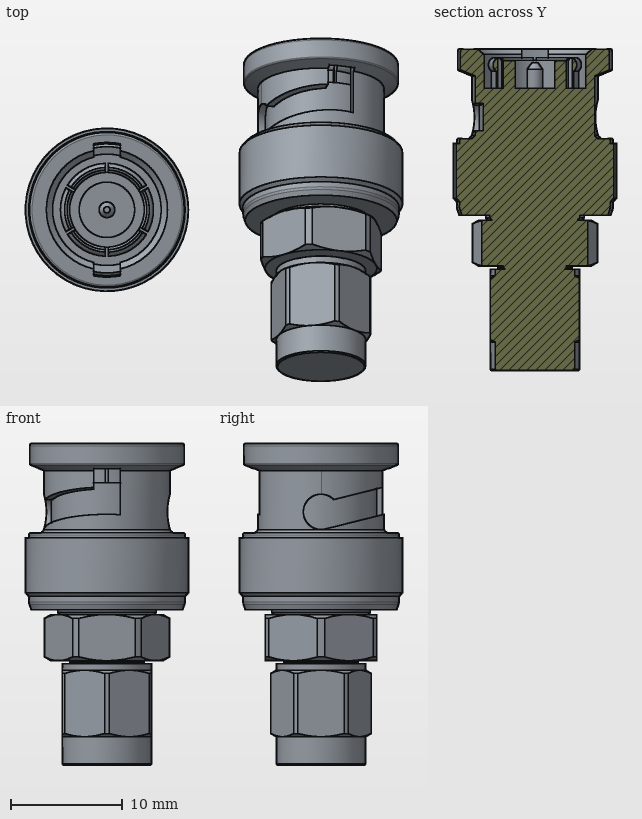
import cadquery as cq
import math

LOWER_HEX_BOTTOM = 2.55
LOWER_HEX_TOP = 8.5
COLLAR_TOP = 9.1
UPPER_HEX_BOTTOM = 9.35
UPPER_HEX_TOP = 13.48
BARREL_BOTTOM = 13.9
BARREL_TOP = 20.8
BODY_TOP = 25.28
FLANGE_BOTTOM = 26.36
FLANGE_RIM_BOTTOM = 26.9
OVERALL_HEIGHT = 28.8
LEVEL_TOLERANCE = 0.01

NUT_RADIUS = 4.0
NUT_EDGE_CHAMFER = 0.12
LOWER_HEX_ACROSS_FLATS = 8.0
LOWER_HEX_CORNER_RADIUS = 4.5

HEX_SIDES = 6
HEX_HALF_SECTOR = 180 / HEX_SIDES
HEX_CHAMFER_ANGLE = 30.0
FLATS_FACING_X = HEX_HALF_SECTOR
FLATS_FACING_Y = 0.0

UPPER_HEX_ACROSS_FLATS = 10.0
UPPER_HEX_CORNER_RADIUS = 5.6
LOWER_NECK_RADIUS = 3.35
UPPER_NECK_RADIUS = 4.42
UPPER_NECK_CHAMFER = 0.2
LOWER_NECK_CHAMFER = 0.12

BARREL_RADIUS = 7.3
BARREL_END_RADIUS = 7.0
BARREL_GRIP_BOTTOM = 15.45
BARREL_GRIP_TOP = 20.35
GRIP_TAPER_HEIGHT = 0.35
BARREL_TOP_ROUND = 0.2
BARREL_BOTTOM_CHAMFER_RADIUS = 6.78
BARREL_BOTTOM_CHAMFER_HEIGHT = 0.62
BARREL_BOTTOM_CORNER_ROUND = 0.75

SLEEVE_RADIUS = 5.65
SLEEVE_BORE_RADIUS = 4.86
SLEEVE_FOOT_CHAMFER = 0.25
FLANGE_RADIUS = 6.92
FLANGE_EDGE_ROUND = 0.2
FLANGE_UNDERSIDE_ROUND = 0.15
MOUTH_RADIUS = 5.42
MOUTH_DEPTH = 0.5

ENTRY_HALF_WIDTH = 1.2
ENTRY_OUTER_RADIUS = 6.03
SLOT_FLOOR_RADIUS = 4.98
LOCK_HOLE_RADIUS = 1.58
LOCK_HOLE_Z = 22.67
RAMP_ANGLE = 14.0
RAMP_WIDTH = 2.37
SLOT_REACH = 8.0

FINGER_INNER_RADIUS = 3.34
FINGER_STEM_RADIUS = 3.9
FINGER_BULGE_RADIUS = 4.16
FINGER_TIP_RADIUS = 3.79
FINGER_TOP = 28.0
FINGER_BULGE_Z = 27.4
FINGER_BULGE_BOTTOM = 26.8
FINGER_MOUTH_CHAMFER = 0.23
FINGER_COUNT = 6
FINGER_SLIT_WIDTH = 0.28
INSULATOR_BORE_RADIUS = 2.48
INSULATOR_TOP = FINGER_TOP - FINGER_MOUTH_CHAMFER
PIN_RADIUS = 0.7
PIN_TIP_RADIUS = 0.28
PIN_TIP_LENGTH = 0.58
PIN_TOP = 27.55


def cylinder(radius, bottom, top):
    """Solid cylinder about Z between two levels."""
    return cq.Workplane("XY").workplane(offset=bottom).circle(radius).extrude(top - bottom)


def ring(outer_radius, inner_radius, bottom, top):
    """Hollow cylinder about Z between two levels."""
    profile = cq.Workplane("XY").workplane(offset=bottom).circle(outer_radius).circle(inner_radius)
    return profile.extrude(top - bottom)


def edges_at_level(level):
    """Selector for the circular edges that lie at one Z level."""
    reach = 2 * BARREL_RADIUS
    low_corner = (-reach, -reach, level - LEVEL_TOLERANCE)
    high_corner = (reach, reach, level + LEVEL_TOLERANCE)
    return cq.selectors.BoxSelector(low_corner, high_corner, boundingbox=True)


def hexagon(across_flats, corner_radius, bottom, top, turn):
    """Hexagon with turned corners and conical chamfers at both ends."""
    flat_radius = across_flats / 2
    corner_diameter = across_flats / math.cos(math.radians(HEX_HALF_SECTOR))
    outline = cq.Workplane("XY").workplane(offset=bottom).polygon(HEX_SIDES, corner_diameter)
    prism = outline.extrude(top - bottom)
    prism = prism.rotate((0, 0, 0), (0, 0, 1), turn)
    chamfer_depth = corner_radius - flat_radius
    chamfer_height = chamfer_depth * math.tan(math.radians(HEX_CHAMFER_ANGLE))
    envelope = cylinder(corner_radius, bottom, top).faces("<Z or >Z").chamfer(chamfer_height, chamfer_depth)
    return prism.intersect(envelope)


def coupling_nut():
    round_body = cylinder(NUT_RADIUS, 0, COLLAR_TOP).faces("<Z").chamfer(NUT_EDGE_CHAMFER)
    nut_hex = hexagon(
        LOWER_HEX_ACROSS_FLATS, LOWER_HEX_CORNER_RADIUS, LOWER_HEX_BOTTOM, LOWER_HEX_TOP, FLATS_FACING_X
    )
    return round_body.union(nut_hex)


def upper_hex_with_necks():
    lower_neck = cylinder(LOWER_NECK_RADIUS, COLLAR_TOP, UPPER_HEX_BOTTOM)
    lower_neck = lower_neck.faces("<Z").chamfer(LOWER_NECK_CHAMFER)
    body_hex = hexagon(
        UPPER_HEX_ACROSS_FLATS, UPPER_HEX_CORNER_RADIUS, UPPER_HEX_BOTTOM, UPPER_HEX_TOP, FLATS_FACING_Y
    )
    upper_neck = cylinder(UPPER_NECK_RADIUS, UPPER_HEX_TOP, BARREL_BOTTOM)
    upper_neck = upper_neck.faces("<Z").chamfer(UPPER_NECK_CHAMFER)
    return lower_neck.union(body_hex).union(upper_neck)


def barrel():
    taper_bottom = BARREL_GRIP_BOTTOM - GRIP_TAPER_HEIGHT
    chamfer_top = BARREL_BOTTOM + BARREL_BOTTOM_CHAMFER_HEIGHT
    return (
        cq.Workplane("XZ")
        .moveTo(0, BARREL_BOTTOM)
        .lineTo(BARREL_BOTTOM_CHAMFER_RADIUS, BARREL_BOTTOM)
        .lineTo(BARREL_END_RADIUS, chamfer_top)
        .lineTo(BARREL_END_RADIUS, taper_bottom)
        .lineTo(BARREL_RADIUS, BARREL_GRIP_BOTTOM)
        .lineTo(BARREL_RADIUS, BARREL_GRIP_TOP)
        .lineTo(BARREL_END_RADIUS, BARREL_GRIP_TOP)
        .lineTo(BARREL_END_RADIUS, BARREL_TOP)
        .lineTo(0, BARREL_TOP)
        .close()
        .revolve(360, (0, 0, 0), (0, 1, 0))
        .faces(">Z").edges().fillet(BARREL_TOP_ROUND)
        .edges(edges_at_level(chamfer_top)).fillet(BARREL_BOTTOM_CORNER_ROUND)
    )


def sleeve():
    """Sleeve with its flange; solid up to the body face and bored above it."""
    outer = (
        cq.Workplane("XZ")
        .moveTo(0, BARREL_TOP)
        .lineTo(SLEEVE_RADIUS + SLEEVE_FOOT_CHAMFER, BARREL_TOP)
        .lineTo(SLEEVE_RADIUS, BARREL_TOP + SLEEVE_FOOT_CHAMFER)
        .lineTo(SLEEVE_RADIUS, FLANGE_BOTTOM)
        .lineTo(FLANGE_RADIUS, FLANGE_RIM_BOTTOM)
        .lineTo(FLANGE_RADIUS, OVERALL_HEIGHT)
        .lineTo(0, OVERALL_HEIGHT)
        .close()
        .revolve(360, (0, 0, 0), (0, 1, 0))
        .faces(">Z").edges().fillet(FLANGE_EDGE_ROUND)
        .edges(edges_at_level(FLANGE_RIM_BOTTOM)).fillet(FLANGE_UNDERSIDE_ROUND)
    )
    bore = (
        cq.Workplane("XZ")
        .moveTo(0, BODY_TOP)
        .lineTo(SLEEVE_BORE_RADIUS, BODY_TOP)
        .lineTo(SLEEVE_BORE_RADIUS, OVERALL_HEIGHT - MOUTH_DEPTH)
        .lineTo(MOUTH_RADIUS, OVERALL_HEIGHT)
        .lineTo(0, OVERALL_HEIGHT)
        .close()
        .revolve(360, (0, 0, 0), (0, 1, 0))
    )
    return outer.cut(bore)


def bayonet_slot():
    """Cutter for the slot that enters at -Y and locks at -X."""
    slope = math.tan(math.radians(RAMP_ANGLE))
    rise = 1 / math.cos(math.radians(RAMP_ANGLE))
    floor_z = LOCK_HOLE_Z - LOCK_HOLE_RADIUS * rise
    roof_z = floor_z + RAMP_WIDTH * rise
    start = LOCK_HOLE_RADIUS * math.sin(math.radians(RAMP_ANGLE))
    ramp = (
        cq.Workplane("YZ", origin=(ENTRY_HALF_WIDTH, 0, 0))
        .moveTo(-start, floor_z + start * slope)
        .lineTo(-SLOT_REACH, floor_z + SLOT_REACH * slope)
        .lineTo(-SLOT_REACH, roof_z + SLOT_REACH * slope)
        .lineTo(-start, roof_z + start * slope)
        .close()
        .extrude(-SLOT_REACH - ENTRY_HALF_WIDTH)
    )
    lock_hole = (
        cq.Workplane("YZ").center(0, LOCK_HOLE_Z).circle(LOCK_HOLE_RADIUS).extrude(-SLOT_REACH)
    )
    entry = (
        cq.Workplane("XY")
        .workplane(offset=roof_z)
        .center(0, -SLOT_REACH / 2)
        .rect(2 * ENTRY_HALF_WIDTH, SLOT_REACH)
        .extrude(OVERALL_HEIGHT - roof_z)
        .intersect(cylinder(ENTRY_OUTER_RADIUS, 0, OVERALL_HEIGHT))
    )
    cutter = ramp.union(lock_hole).union(entry)
    return cutter.cut(cylinder(SLOT_FLOOR_RADIUS, 0, BODY_TOP))


def spring_fingers():
    """Slotted contact ring with a rounded bulge near its free end."""
    crown = (
        cq.Workplane("XZ")
        .moveTo(FINGER_INNER_RADIUS, BODY_TOP)
        .lineTo(FINGER_STEM_RADIUS, BODY_TOP)
        .lineTo(FINGER_STEM_RADIUS, FINGER_BULGE_BOTTOM)
        .threePointArc((FINGER_BULGE_RADIUS, FINGER_BULGE_Z), (FINGER_TIP_RADIUS, FINGER_TOP))
        .lineTo(FINGER_INNER_RADIUS + FINGER_MOUTH_CHAMFER, FINGER_TOP)
        .lineTo(FINGER_INNER_RADIUS, FINGER_TOP - FINGER_MOUTH_CHAMFER)
        .close()
        .revolve(360, (0, 0, 0), (0, 1, 0))
    )
    slit = (
        cq.Workplane("XY")
        .workplane(offset=BODY_TOP)
        .center(0, SLEEVE_BORE_RADIUS / 2)
        .rect(FINGER_SLIT_WIDTH, SLEEVE_BORE_RADIUS)
        .extrude(FINGER_TOP - BODY_TOP)
    )
    for index in range(FINGER_COUNT):
        crown = crown.cut(slit.rotate((0, 0, 0), (0, 0, 1), index * 360 / FINGER_COUNT))
    return crown


def insulator():
    return ring(FINGER_INNER_RADIUS, INSULATOR_BORE_RADIUS, BODY_TOP, INSULATOR_TOP)


def centre_pin():
    return (
        cylinder(PIN_RADIUS, BODY_TOP, PIN_TOP)
        .faces(">Z").chamfer(PIN_TIP_LENGTH, PIN_RADIUS - PIN_TIP_RADIUS)
    )


def slotted_sleeve():
    """Sleeve with two bayonet slots, half a turn apart."""
    body = sleeve()
    for turn in (0, 180):
        body = body.cut(bayonet_slot().rotate((0, 0, 0), (0, 0, 1), turn))
    return body


sections = (
    upper_hex_with_necks(),
    barrel(),
    slotted_sleeve(),
    spring_fingers(),
    insulator(),
    centre_pin(),
)
result = coupling_nut()
for section in sections:
    result = result.union(section)